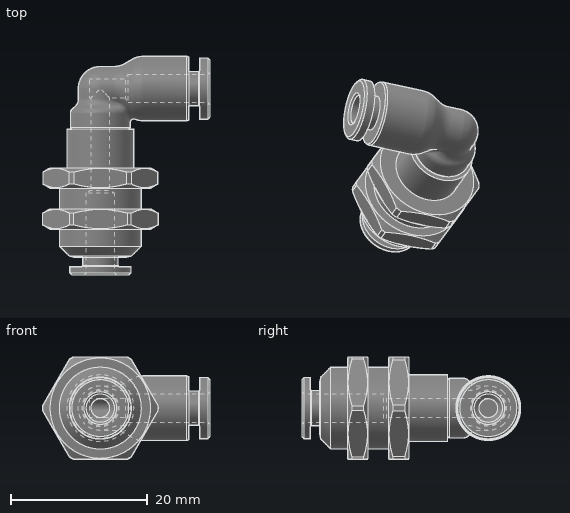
import math
import cadquery as cq


ELBOW_R = 6.5 / 2
CROTCH_FILLET_R = 0.5

FLOW_R = 2.75 / 2
FLOW_OVERRUN = 1.6
TUBE_R = 4.15 / 2
TUBE_MOUTH_R = 4.8 / 2
TUBE_DEPTH = 12.0
DRILL_POINT_ANGLE = math.radians(118)
COLLAR_R = 9.0 / 2
COLLAR_CHAMFER = 0.33
STEM_FLARE_HEIGHT = 0.12
STEM_FLARE_LENGTH = 0.18

OUTLET_R = 9.5 / 2
OUTLET_STEM_R = 5.05 / 2
OUTLET_NECK_START = 2.05
OUTLET_NECK_LENGTH = 4.2
OUTLET_NECK_ANGLE = math.radians(30)
OUTLET_BODY_END = 12.95
OUTLET_TAPER_LENGTH = 0.33
OUTLET_TAPER_HEIGHT = 0.12
OUTLET_COLLAR_START = 14.55
OUTLET_END = 16.07

SWIVEL_R = 8.8 / 2
SLEEVE_R = 9.8 / 2
THREAD_R = 12.0 / 2
BULKHEAD_STEM_R = 5.2 / 2
SWIVEL_NECK_START = 1.57
SWIVEL_NECK_MIDDLE = 2.78
SWIVEL_NECK_END = 3.7
SLEEVE_START = 5.95
SWIVEL_END_CHAMFER = 0.25
THREAD_START = 11.6
NOSE_START = 23.1
NOSE_END = 24.53
NOSE_R = 4.55
NOSE_FACE_R = 7.45 / 2
NOSE_FACE = 24.73
BULKHEAD_COLLAR_START = 26.06
BULKHEAD_END = 27.31

NUT_SIDES = 6
NUT_FLATS = 15.0
NUT_FACE_R = 14.7 / 2
NUT_THICKNESS = 3.0
NUT_BEVEL_ANGLE = math.radians(30)
INNER_NUT_START = THREAD_START
INNER_NUT_CORNER_R = 8.42
OUTER_NUT_START = INNER_NUT_START + 2 * NUT_THICKNESS
OUTER_NUT_CORNER_R = 8.48


def tangent_arc(wire, start, start_angle, end, end_angle):
    """Add a circular arc whose slope turns from start_angle to end_angle."""
    mid_angle = (start_angle + end_angle) / 2
    dr = end[0] - start[0]
    ds = end[1] - start[1]
    sagitta = math.hypot(dr, ds) / 2 * math.tan((end_angle - start_angle) / 4)
    middle = (
        (start[0] + end[0]) / 2 - sagitta * math.cos(mid_angle),
        (start[1] + end[1]) / 2 + sagitta * math.sin(mid_angle),
    )
    return wire.threePointArc(middle, end)


def along_x(solid):
    """Turn a solid built along +Z so that it runs along +X."""
    return solid.rotate((0, 0, 0), (0, 1, 0), 90)


def along_minus_y(solid):
    """Turn a solid built along +Z so that it runs along -Y."""
    return solid.rotate((0, 0, 0), (1, 0, 0), 90)


def revolve_profile(wire):
    """Revolve a (radius, distance) profile in the XZ plane about Z."""
    return wire.close().revolve(360, (0, 0, 0), (0, 1, 0))


def add_collar(wire, stem_r, collar_start, end):
    """Finish a profile with the stem and the flanged release collar."""
    return (
        wire.lineTo(stem_r, collar_start - STEM_FLARE_LENGTH)
        .lineTo(stem_r + STEM_FLARE_HEIGHT, collar_start)
        .lineTo(COLLAR_R, collar_start)
        .lineTo(COLLAR_R, end - COLLAR_CHAMFER)
        .lineTo(COLLAR_R - COLLAR_CHAMFER, end)
        .lineTo(0, end)
    )


def outlet_arm():
    """Solid outlet arm: elbow tube, flared neck, body and release collar."""
    arc_rise_per_length = math.tan(OUTLET_NECK_ANGLE / 2)
    slope = math.tan(OUTLET_NECK_ANGLE)
    rise = OUTLET_R - ELBOW_R
    arc_length = (slope * OUTLET_NECK_LENGTH - rise) / (slope - arc_rise_per_length) / 2
    arc_rise = arc_length * arc_rise_per_length
    neck_end = OUTLET_NECK_START + OUTLET_NECK_LENGTH
    foot = (ELBOW_R, OUTLET_NECK_START)
    cone_start = (ELBOW_R + arc_rise, OUTLET_NECK_START + arc_length)
    cone_end = (OUTLET_R - arc_rise, neck_end - arc_length)
    shoulder = (OUTLET_R, neck_end)

    wire = cq.Workplane("XZ").lineTo(ELBOW_R, 0).lineTo(*foot)
    wire = tangent_arc(wire, foot, 0, cone_start, OUTLET_NECK_ANGLE)
    wire = wire.lineTo(*cone_end)
    wire = tangent_arc(wire, cone_end, OUTLET_NECK_ANGLE, shoulder, 0)
    wire = (
        wire.lineTo(OUTLET_R, OUTLET_BODY_END - OUTLET_TAPER_LENGTH)
        .lineTo(OUTLET_R - OUTLET_TAPER_HEIGHT, OUTLET_BODY_END)
        .lineTo(OUTLET_STEM_R, OUTLET_BODY_END)
    )
    wire = add_collar(wire, OUTLET_STEM_R, OUTLET_COLLAR_START, OUTLET_END)
    return along_x(revolve_profile(wire))


def bulkhead_arm():
    """Solid bulkhead arm: elbow tube, swivel neck, sleeve, threaded body and release collar."""
    neck_length = SWIVEL_NECK_END - SWIVEL_NECK_START
    neck_rise = SWIVEL_R - ELBOW_R
    neck_angle = 2 * math.atan(neck_rise / neck_length)
    middle_share = (SWIVEL_NECK_MIDDLE - SWIVEL_NECK_START) / neck_length
    foot = (ELBOW_R, SWIVEL_NECK_START)
    middle = (ELBOW_R + middle_share * neck_rise, SWIVEL_NECK_MIDDLE)
    shoulder = (SWIVEL_R, SWIVEL_NECK_END)

    wire = cq.Workplane("XZ").lineTo(ELBOW_R, 0).lineTo(*foot)
    wire = tangent_arc(wire, foot, 0, middle, neck_angle)
    wire = tangent_arc(wire, middle, neck_angle, shoulder, 0)
    wire = (
        wire.lineTo(SWIVEL_R, SLEEVE_START - SWIVEL_END_CHAMFER)
        .lineTo(SWIVEL_R - SWIVEL_END_CHAMFER, SLEEVE_START)
        .lineTo(SLEEVE_R, SLEEVE_START)
        .lineTo(SLEEVE_R, THREAD_START)
        .lineTo(THREAD_R, THREAD_START)
        .lineTo(THREAD_R, NOSE_START)
        .lineTo(NOSE_R, NOSE_END)
        .lineTo(NOSE_FACE_R, NOSE_FACE)
        .lineTo(BULKHEAD_STEM_R, NOSE_FACE)
    )
    wire = add_collar(wire, BULKHEAD_STEM_R, BULKHEAD_COLLAR_START, BULKHEAD_END)
    return along_minus_y(revolve_profile(wire))


def hex_nut(start, corner_r):
    """Hex nut with clipped corners and both faces bevelled."""
    bevel_height = (corner_r - NUT_FACE_R) * math.tan(NUT_BEVEL_ANGLE)
    across_corners = NUT_FLATS / math.cos(math.pi / NUT_SIDES)
    prism = cq.Workplane("XY").polygon(NUT_SIDES, across_corners).extrude(NUT_THICKNESS)
    envelope = revolve_profile(
        cq.Workplane("XZ")
        .lineTo(NUT_FACE_R, 0)
        .lineTo(corner_r, bevel_height)
        .lineTo(corner_r, NUT_THICKNESS - bevel_height)
        .lineTo(NUT_FACE_R, NUT_THICKNESS)
        .lineTo(0, NUT_THICKNESS)
    )
    return along_minus_y(prism.intersect(envelope).translate((0, 0, start)))


def bore(start, end):
    """Flow bore from start, opening through a drill point into the tube socket at the arm's end."""
    mouth_depth = TUBE_MOUTH_R - TUBE_R
    socket_floor = end - TUBE_DEPTH
    drill_point_length = (TUBE_R - FLOW_R) / math.tan(DRILL_POINT_ANGLE / 2)
    return revolve_profile(
        cq.Workplane("XZ")
        .moveTo(0, start)
        .lineTo(FLOW_R, start)
        .lineTo(FLOW_R, socket_floor - drill_point_length)
        .lineTo(TUBE_R, socket_floor)
        .lineTo(TUBE_R, end - mouth_depth)
        .lineTo(TUBE_MOUTH_R, end)
        .lineTo(0, end)
    )


def elbow_body():
    """Both arms joined around the elbow sphere, with the inner corner filleted."""
    body = cq.Workplane("XY").sphere(ELBOW_R).union(outlet_arm()).union(bulkhead_arm())
    return body.edges("%ELLIPSE or %BSPLINE").fillet(CROTCH_FILLET_R)


result = elbow_body()
result = result.union(hex_nut(INNER_NUT_START, INNER_NUT_CORNER_R))
result = result.union(hex_nut(OUTER_NUT_START, OUTER_NUT_CORNER_R))

result = result.cut(along_x(bore(-FLOW_OVERRUN, OUTLET_END)))
result = result.cut(along_minus_y(bore(0, BULKHEAD_END)))